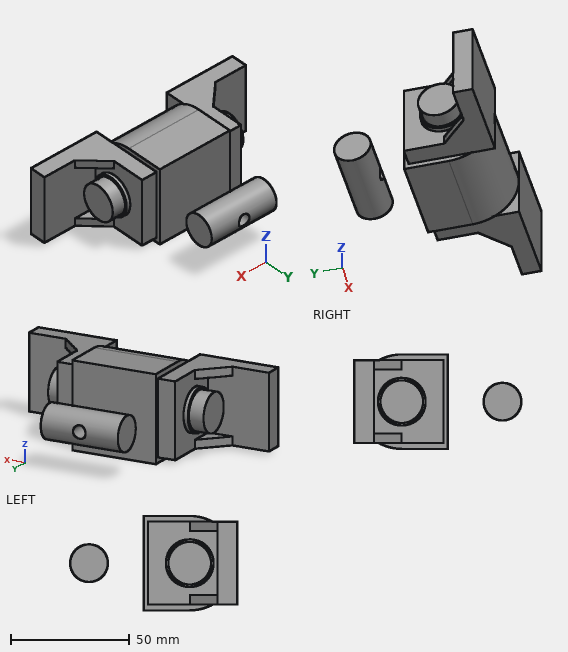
import cadquery as cq

BARREL_LENGTH = 40.0
BARREL_RADIUS = 20.0
BARREL_BACK_Y = 19.5

BRACKET_SPAN = 115.0
BRACKET_HEIGHT = 35.0
FRONT_OVERHANG = 0.15
BRACKET_FRONT_Y = -(BARREL_RADIUS + FRONT_OVERHANG)
BRACKET_SETBACK = 2.0
BRACKET_BACK_Y = BARREL_BACK_Y - BRACKET_SETBACK
WALL_THICKNESS = 8.25
FOOT_THICKNESS = 8.5
GUSSET_LENGTH = 11.75
GUSSET_RISE = 11.5
GUSSET_THICKNESS = 4.0

COLLAR_DIAMETER = 20.0
WALL_BORE_GAP = 0.1
COLLAR_PROJECTION = 2.0
WALL_BORE_DIAMETER = COLLAR_DIAMETER + 2 * WALL_BORE_GAP
JOURNAL_DIAMETER = 18.0
JOURNAL_LENGTH = 7.0

PIN_DIAMETER = 16.0
PIN_LENGTH = 37.0
PIN_AXIS_Y = 42.5
PIN_HOLE_DIAMETER = 6.0

BARREL_END_X = BARREL_LENGTH / 2
WALL_FACE_X = BARREL_END_X + WALL_THICKNESS
FOOT_BACK_Y = BRACKET_FRONT_Y + FOOT_THICKNESS


def make_barrel():
    """Square-backed block with a half-round front."""
    return (
        cq.Workplane("YZ")
        .moveTo(BARREL_BACK_Y, -BARREL_RADIUS)
        .lineTo(0, -BARREL_RADIUS)
        .threePointArc((-BARREL_RADIUS, 0), (0, BARREL_RADIUS))
        .lineTo(BARREL_BACK_Y, BARREL_RADIUS)
        .close()
        .extrude(BARREL_END_X, both=True)
    )


def make_right_bracket():
    """L-shaped bracket on the +X end, with a gusset along its top and bottom edges."""
    angle = (
        cq.Workplane("XY")
        .moveTo(BARREL_END_X, BRACKET_FRONT_Y)
        .lineTo(BRACKET_SPAN / 2, BRACKET_FRONT_Y)
        .lineTo(BRACKET_SPAN / 2, FOOT_BACK_Y)
        .lineTo(WALL_FACE_X, FOOT_BACK_Y)
        .lineTo(WALL_FACE_X, BRACKET_BACK_Y)
        .lineTo(BARREL_END_X, BRACKET_BACK_Y)
        .close()
        .extrude(BRACKET_HEIGHT / 2, both=True)
    )
    for gusset_bottom_z in (-BRACKET_HEIGHT / 2, BRACKET_HEIGHT / 2 - GUSSET_THICKNESS):
        gusset = (
            cq.Workplane("XY", origin=(WALL_FACE_X, FOOT_BACK_Y, gusset_bottom_z))
            .lineTo(GUSSET_LENGTH, 0)
            .lineTo(0, GUSSET_RISE)
            .close()
            .extrude(GUSSET_THICKNESS)
        )
        angle = angle.union(gusset)
    return angle


def make_wall_bore():
    """Bore through the +X bracket wall, leaving a thin ring gap around the trunnion."""
    return (
        cq.Workplane("YZ", origin=(BARREL_END_X, 0, 0))
        .circle(WALL_BORE_DIAMETER / 2)
        .extrude(WALL_THICKNESS)
    )


def make_right_trunnion():
    """Collar rising from the +X barrel end through the wall bore, then the journal."""
    return (
        cq.Workplane("YZ", origin=(BARREL_END_X, 0, 0))
        .circle(COLLAR_DIAMETER / 2)
        .extrude(WALL_THICKNESS + COLLAR_PROJECTION)
        .faces(">X")
        .workplane()
        .circle(JOURNAL_DIAMETER / 2)
        .extrude(JOURNAL_LENGTH)
    )


def make_housing():
    """Barrel with a bracket and a trunnion on each end."""
    right_bracket = make_right_bracket().cut(make_wall_bore())
    right_trunnion = make_right_trunnion()
    housing = make_barrel()
    for end_part in (right_bracket, right_trunnion):
        housing = housing.union(end_part).union(end_part.mirror("YZ"))
    return housing


def make_pin():
    """Round rod along X with a hole drilled through its middle along Y."""
    rod = (
        cq.Workplane("YZ", origin=(0, PIN_AXIS_Y, 0))
        .circle(PIN_DIAMETER / 2)
        .extrude(PIN_LENGTH / 2, both=True)
    )
    cross_hole = (
        cq.Workplane("XZ", origin=(0, PIN_AXIS_Y, 0))
        .circle(PIN_HOLE_DIAMETER / 2)
        .extrude(PIN_DIAMETER / 2, both=True)
    )
    return rod.cut(cross_hole)


housing = make_housing()
pin = make_pin()

result = cq.Compound.makeCompound([housing.val(), pin.val()])